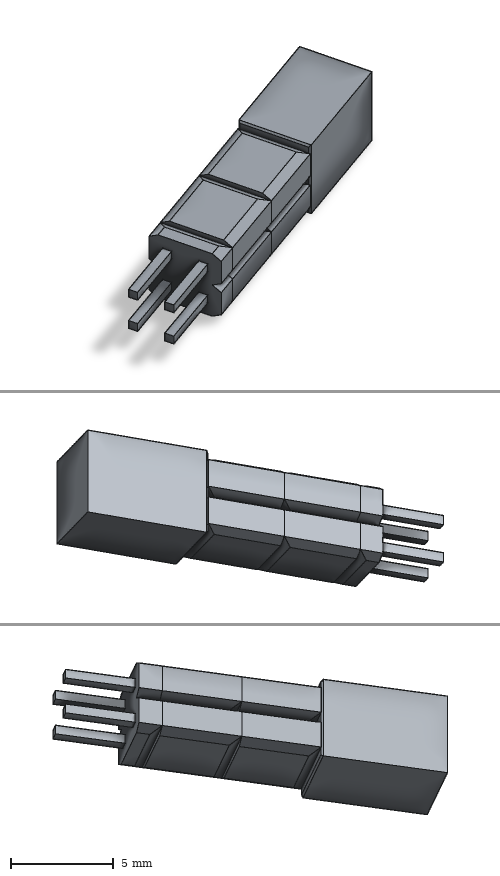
import cadquery as cq
import math

pitch = 2.0
pins_per_side = 2
header_size = pitch * pins_per_side
half_header = header_size / 2

housing_length = 6.35
housing_height = 4.4
rim_chamfer = 0.1

spacer_count = 2
spacer_length = 4.0
end_spacer_length = 1.17
notch_depth = 0.5
notch_angle = 30
notch_half_height = notch_depth * math.tan(math.radians(notch_angle))

pin_size = 0.5
pin_free_length = 3.5
pin_length = spacer_count * spacer_length + end_spacer_length + pin_free_length

outer_edges = [-half_header, half_header]
middle_edge = 0
all_edges = outer_edges + [middle_edge]


def make_housing():
    """Plain block behind Y = 0 with a chamfered front rim."""
    return (
        cq.Workplane("XZ")
        .rect(header_size, housing_height)
        .extrude(-housing_length)
        .faces("<Y")
        .chamfer(rim_chamfer)
    )


def make_pin(x, z):
    """Square pin that starts at the housing face and sticks out past the spacers."""
    return cq.Workplane("XZ").center(x, z).rect(pin_size, pin_size).extrude(pin_length)


def make_notch(plane, mouth, depth, z, half_length):
    """V-shaped cutter at height z, open at the mouth offset, with its tip a signed depth away."""
    return (
        cq.Workplane(plane)
        .moveTo(mouth, z - notch_half_height)
        .lineTo(mouth, z + notch_half_height)
        .lineTo(mouth + depth, z)
        .close()
        .extrude(half_length, both=True)
    )


def make_spacer(rear_y, length, rear_notch_heights, pins):
    """Two joined rows: V notches along both sides, and across the rear at the given heights."""
    spacer = (
        cq.Workplane("XZ", origin=(0, rear_y, 0))
        .rect(header_size, header_size)
        .extrude(length)
    )
    for z in all_edges:
        spacer = spacer.cut(make_notch("XZ", -half_header, notch_depth, z, pin_length))
        spacer = spacer.cut(make_notch("XZ", half_header, -notch_depth, z, pin_length))
    for z in rear_notch_heights:
        spacer = spacer.cut(make_notch("YZ", rear_y, -notch_depth, z, header_size))
    for pin in pins:
        spacer = spacer.cut(pin)
    return spacer


housing = make_housing()

pin_offsets = [pitch * (i - (pins_per_side - 1) / 2) for i in range(pins_per_side)]
pins = [make_pin(x, z) for x in pin_offsets for z in pin_offsets]

spacers = [
    make_spacer(-i * spacer_length, spacer_length, all_edges, pins)
    for i in range(spacer_count)
]
end_spacer = make_spacer(-spacer_count * spacer_length, end_spacer_length, outer_edges, pins)

result = cq.Compound.makeCompound(
    [
        housing.val(),
        *[spacer.val() for spacer in spacers],
        end_spacer.val(),
        *[pin.val() for pin in pins],
    ]
)